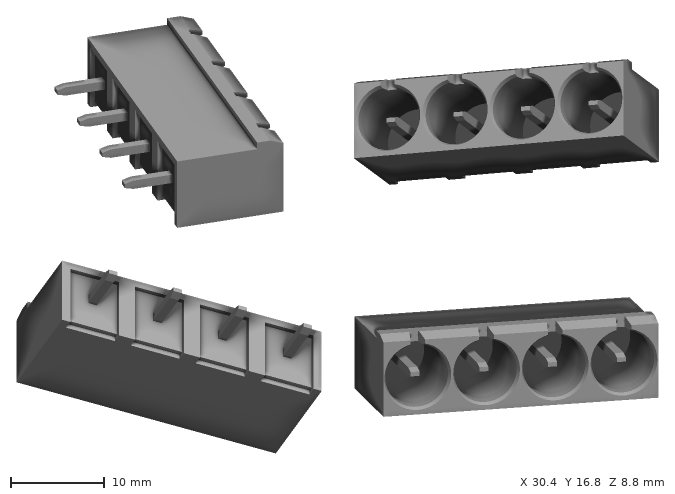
import cadquery as cq
import math

housing_width = 30.42
housing_depth = 12.0
housing_height = 8.0

overall_height = 8.8
ridge_depth = 2.98
ridge_slope_run = 1.5
ridge_slope_angle = 20.0

contact_count = 4
contact_pitch = 7.6
contact_z = 4.2

pin_size = 1.0
pin_tip_thickness = 0.5
pin_taper_angle = 15.0
solder_tail_length = 4.8
pin_inset = 1.1

recess_width = 5.72
recess_height = 7.18
recess_depth = 0.55
undercut_height = 0.55
undercut_depth = 2 * recess_depth

socket_radius = 3.47
socket_floor_thickness = 1.0
mouth_depth = 0.5
mouth_angle = 25.0

slot_depth = 1.7
slot_rear_width = 1.6
slot_front_width = pin_size


def make_housing():
    """Block with the sloped ridge, as one side profile extruded along X."""
    rear_edge_z = overall_height - ridge_slope_run * math.tan(math.radians(ridge_slope_angle))
    profile = [
        (0, 0),
        (housing_depth, 0),
        (housing_depth, rear_edge_z),
        (housing_depth - ridge_slope_run, overall_height),
        (housing_depth - ridge_depth, overall_height),
        (housing_depth - ridge_depth, housing_height),
        (0, housing_height),
    ]
    return cq.Workplane("YZ").polyline(profile).close().extrude(housing_width / 2, both=True)


def make_recess(x):
    """Recess in the solder face, with a deeper undercut along the bottom edge."""
    upper = cq.Workplane("XY").box(recess_width, recess_depth, recess_height, centered=(True, False, False))
    undercut = cq.Workplane("XY").box(
        recess_width, undercut_depth, undercut_height, centered=(True, False, False)
    )
    return upper.union(undercut).translate((x, 0, 0))


def make_socket(x):
    """Blind round bore with a conical mouth, revolved about the contact axis."""
    floor_y = recess_depth + socket_floor_thickness
    mouth_radius = socket_radius + mouth_depth * math.tan(math.radians(mouth_angle))
    half_section = [
        (0, floor_y),
        (socket_radius, floor_y),
        (socket_radius, housing_depth - mouth_depth),
        (mouth_radius, housing_depth),
        (0, housing_depth),
    ]
    bore = cq.Workplane("XY").polyline(half_section).close().revolve(360, (0, 0), (0, 1))
    return bore.translate((x, 0, contact_z))


def make_slot(x):
    """Tapered keying slot, cut from the socket axis up through the ridge."""
    front_y = housing_depth - slot_depth
    outline = [
        (-slot_front_width / 2, front_y),
        (slot_front_width / 2, front_y),
        (slot_rear_width / 2, housing_depth),
        (-slot_rear_width / 2, housing_depth),
    ]
    slot = cq.Workplane("XY").polyline(outline).close().extrude(overall_height - contact_z)
    return slot.translate((x, 0, contact_z))


def make_pin(x):
    """Straight square pin running from the solder tail tip to the mating tip."""
    half_size = pin_size / 2
    half_tip = pin_tip_thickness / 2
    taper_length = (half_size - half_tip) / math.tan(math.radians(pin_taper_angle))
    tail_y = -solder_tail_length
    mating_y = housing_depth - pin_inset
    profile = [
        (tail_y, -half_tip),
        (tail_y + taper_length, -half_size),
        (mating_y - taper_length, -half_size),
        (mating_y, -half_tip),
        (mating_y, half_tip),
        (mating_y - taper_length, half_size),
        (tail_y + taper_length, half_size),
        (tail_y, half_tip),
    ]
    pin = cq.Workplane("YZ").polyline(profile).close().extrude(half_size, both=True)
    return pin.translate((x, 0, contact_z))


contact_positions = [(i - (contact_count - 1) / 2) * contact_pitch for i in range(contact_count)]

result = make_housing()
for contact_x in contact_positions:
    result = result.cut(make_recess(contact_x))
    result = result.cut(make_socket(contact_x))
    result = result.cut(make_slot(contact_x))
    result = result.union(make_pin(contact_x))